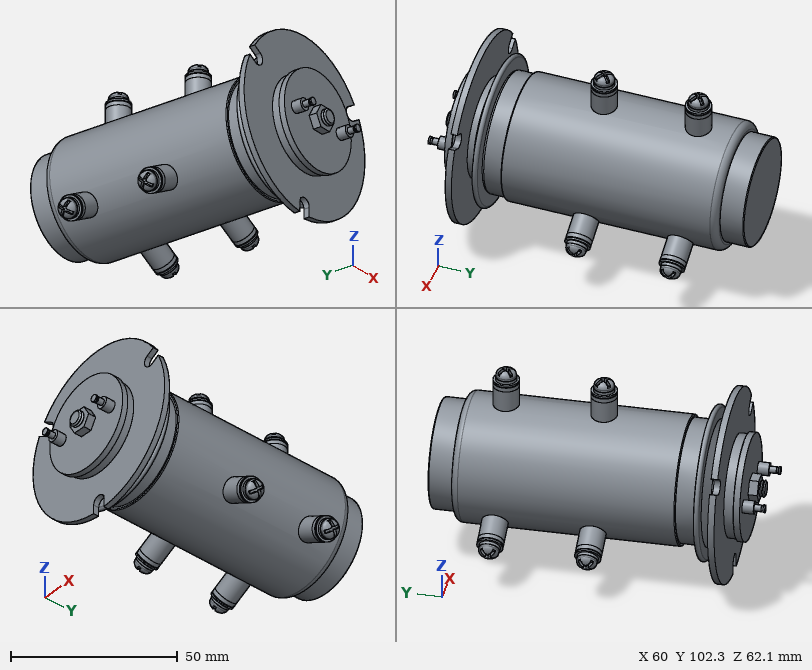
import cadquery as cq
import math


cap_radius, cap_front_end = 16.6, 2.0
neck_radius, neck_end = 15.9, 9.0
cone_large_radius, cone_end = 19.5, 11.15
rim_radius, rim_end = 23.85, 12.8
waist_radius, waist_end = 19.1, 19.1
waist_bevel_length, waist_bevel_depth = 0.6, 0.3
barrel_radius, barrel_end = 20.0, 87.9
barrel_front_chamfer = 0.3
barrel_back_round = 2.2
spigot_radius, spigot_end = 17.0, 95.4
spigot_chamfer = 0.3

disc_radius, disc_front, disc_thickness = 30.0, 5.0, 2.0
slot_width = 4.65
slot_center_radius = 26.7
slot_angles = (30, 150, 270)

nut_across_flats, nut_height = 7.45, 2.8
stud_major_radius, stud_minor_radius = 2.65, 2.1
stud_projection = 4.65
thread_crests = 2

terminal_offset = 11.1
terminal_length = 6.91
terminal_base_radius, terminal_base_length = 2.0, 3.45
terminal_pin_radius, terminal_pin_end = 1.05, 5.6
terminal_neck_radius, terminal_neck_end = 0.8, 6.2
terminal_head_radius = 1.2
terminal_tip_height = 0.15

boss_radius, boss_top = 4.0, 26.5
boss_root = barrel_radius / 2
screw_placings = ((90, 0), (208, -2.85), (332, 2.85))
screw_stations = (44.95, 74.95)
washer_joint = 27.95
washer_edge_chamfer = 0.12
washer_top = 28.65
lock_washer_radius, lock_washer_top = 3.25, 29.6
head_radius, head_edge = 3.1, 30.25
dome_top = 32.25
recess_length, recess_width, recess_floor = 5.4, 1.0, 30.7


def cylinder_along_y(x, y_start, y_end, radius):
    """Cylinder parallel to the Y axis at z = 0."""
    return cq.Workplane("XZ", origin=(x, y_end, 0)).circle(radius).extrude(y_end - y_start)


def turned_body():
    """Cap, neck, cone, rim, waist, barrel and spigot turned as one profile."""
    rim_edge_radius = (rim_end - cone_end) / 2
    rim_shoulder = rim_radius - rim_edge_radius
    profile = (
        cq.Workplane("XY")
        .moveTo(0, 0)
        .lineTo(cap_radius, 0)
        .lineTo(cap_radius, cap_front_end)
        .lineTo(neck_radius, cap_front_end)
        .lineTo(neck_radius, neck_end)
        .lineTo(cone_large_radius, cone_end)
        .lineTo(rim_shoulder, cone_end)
        .threePointArc((rim_radius, cone_end + rim_edge_radius), (rim_shoulder, rim_end))
        .lineTo(waist_radius - waist_bevel_depth, rim_end)
        .lineTo(waist_radius, rim_end + waist_bevel_length)
        .lineTo(waist_radius, waist_end)
        .lineTo(barrel_radius - barrel_front_chamfer, waist_end)
        .lineTo(barrel_radius, waist_end + barrel_front_chamfer)
        .lineTo(barrel_radius, barrel_end - barrel_back_round)
        .radiusArc((barrel_radius - barrel_back_round, barrel_end), -barrel_back_round)
        .lineTo(spigot_radius, barrel_end)
        .lineTo(spigot_radius, spigot_end - spigot_chamfer)
        .lineTo(spigot_radius - spigot_chamfer, spigot_end)
        .lineTo(0, spigot_end)
        .close()
    )
    return profile.revolve(360, (0, 0, 0), (0, 1, 0))


def mounting_disc():
    """Thin disc with three round-ended slots open at its edge."""
    disc_back = disc_front + disc_thickness
    disc = cylinder_along_y(0, disc_front, disc_back, disc_radius)
    slot_length = disc_radius - slot_center_radius + slot_width
    for angle in slot_angles:
        slot = (
            cq.Workplane("XZ", origin=(0, disc_back, 0))
            .center(slot_center_radius + slot_length / 2, 0)
            .rect(slot_length, slot_width)
            .extrude(disc_thickness)
            .union(cylinder_along_y(slot_center_radius, disc_front, disc_back, slot_width / 2))
        )
        disc = disc.cut(slot.rotate((0, 0, 0), (0, 1, 0), -angle))
    return disc


def nut_and_stud():
    """Hex nut with flats facing +Z and -Z, and the stud end with V-shaped thread crests."""
    across_corners = nut_across_flats / math.cos(math.radians(30))
    nut = cq.Workplane("XZ").polygon(6, across_corners).extrude(nut_height)
    pitch = (stud_projection - nut_height) / thread_crests
    profile = (
        cq.Workplane("XY")
        .moveTo(0, 0)
        .lineTo(stud_minor_radius, 0)
        .lineTo(stud_minor_radius, -nut_height)
    )
    for crest in range(thread_crests):
        root = -nut_height - crest * pitch
        profile = profile.lineTo(stud_major_radius, root - pitch / 2).lineTo(stud_minor_radius, root - pitch)
    stud = profile.lineTo(0, -stud_projection).close().revolve(360, (0, 0, 0), (0, 1, 0))
    return nut.union(stud)


def terminal(x):
    """Stepped turret terminal pointing to -Y, with a shallow conical tip."""
    profile = (
        cq.Workplane("XY", origin=(x, 0, 0))
        .moveTo(0, 0)
        .lineTo(terminal_base_radius, 0)
        .lineTo(terminal_base_radius, -terminal_base_length)
        .lineTo(terminal_pin_radius, -terminal_base_length)
        .lineTo(terminal_pin_radius, -terminal_pin_end)
        .lineTo(terminal_neck_radius, -terminal_pin_end)
        .lineTo(terminal_neck_radius, -terminal_neck_end)
        .lineTo(terminal_head_radius, -terminal_neck_end)
        .lineTo(terminal_head_radius, terminal_tip_height - terminal_length)
        .lineTo(0, -terminal_length)
        .close()
    )
    return profile.revolve(360, (0, 0, 0), (0, 1, 0))


def place_around_barrel(shape, angle, offset, station):
    """Offset a shape built along +Z sideways, turn it about Y (90 keeps +Z) and move it along Y."""
    turned = shape.translate((offset, 0, 0)).rotate((0, 0, 0), (0, 1, 0), 90 - angle)
    return turned.translate((0, station, 0))


def boss():
    """Round boss that carries one screw, rooted inside the barrel."""
    return cq.Workplane("XY", origin=(0, 0, boss_root)).circle(boss_radius).extrude(boss_top - boss_root)


def screw():
    """Domed cross-recess screw with its plain washers and lock washer, seated on the boss."""
    profile = (
        cq.Workplane("XZ")
        .moveTo(0, boss_top)
        .lineTo(boss_radius, boss_top)
        .lineTo(boss_radius, washer_joint - washer_edge_chamfer)
        .lineTo(boss_radius - washer_edge_chamfer, washer_joint)
        .lineTo(boss_radius, washer_joint + washer_edge_chamfer)
        .lineTo(boss_radius, washer_top)
        .lineTo(lock_washer_radius, washer_top)
        .lineTo(lock_washer_radius, lock_washer_top)
        .lineTo(head_radius, lock_washer_top)
        .lineTo(head_radius, head_edge)
        .ellipseArc(head_radius, dome_top - head_edge, 0, 90, startAtCurrent=True)
        .close()
    )
    body = profile.revolve(360, (0, 0, 0), (0, 1, 0))
    recess = (
        cq.Workplane("XY", origin=(0, 0, recess_floor))
        .rect(recess_length, recess_width)
        .extrude(dome_top - recess_floor)
    )
    cross = recess.union(recess.rotate((0, 0, 0), (0, 0, 1), 90)).clean()
    return body.cut(cross.rotate((0, 0, 0), (0, 0, 1), 45))


screw_places = [(angle, offset, station) for angle, offset in screw_placings for station in screw_stations]

housing = turned_body().union(mounting_disc()).union(nut_and_stud())
for side in (-1, 1):
    housing = housing.union(terminal(side * terminal_offset))
for place in screw_places:
    housing = housing.union(place_around_barrel(boss(), *place))

screws = [place_around_barrel(screw(), *place) for place in screw_places]

screw_solids = [each_screw.solids().val() for each_screw in screws]
result = cq.Compound.makeCompound([housing.solids().val(), *screw_solids])